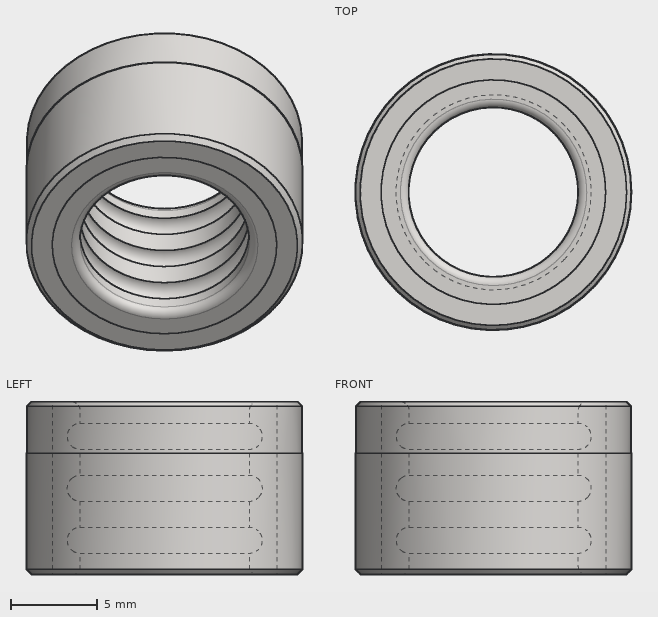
import cadquery as cq

height = 10.0
outer_radius = 8.0

relief_length = 3.0
relieved_radius = 7.97
bottom_chamfer = 0.3
top_chamfer = 0.25

liner_radius = 6.5
bore_radius = 4.9
mouth_radius = 0.5
groove_radius = 0.75
groove_count = 3
groove_pitch = 3.0


def make_sleeve():
    """Outer sleeve with chamfered rims and a relieved upper length."""
    relief_floor = height - relief_length
    sleeve = (
        cq.Workplane("XY")
        .circle(outer_radius)
        .extrude(relief_floor)
        .faces(">Z")
        .workplane()
        .circle(relieved_radius)
        .extrude(relief_length)
    )
    sleeve = sleeve.faces("<Z").edges().chamfer(bottom_chamfer)
    sleeve = sleeve.faces(">Z").edges().chamfer(top_chamfer)
    liner_seat = cq.Workplane("XY").circle(liner_radius).extrude(height)
    return sleeve.cut(liner_seat).solids()


def make_liner():
    """Inner liner filling the sleeve, revolved from a half section with half-round bore grooves."""
    mouth_rim_radius = bore_radius + mouth_radius
    section = (
        cq.Workplane("XZ")
        .moveTo(liner_radius, height)
        .lineTo(liner_radius, 0)
        .lineTo(mouth_rim_radius, 0)
        .radiusArc((bore_radius, mouth_radius), mouth_radius)
    )
    middle_index = (groove_count - 1) / 2
    for index in range(groove_count):
        center_z = height / 2 + (index - middle_index) * groove_pitch
        section = section.lineTo(bore_radius, center_z - groove_radius).threePointArc(
            (bore_radius + groove_radius, center_z),
            (bore_radius, center_z + groove_radius),
        )
    section = (
        section.lineTo(bore_radius, height - mouth_radius)
        .radiusArc((mouth_rim_radius, height), mouth_radius)
        .close()
    )
    return section.revolve(360, (0, 0, 0), (0, 1, 0))


sleeve = make_sleeve()
liner = make_liner()
result = cq.Compound.makeCompound([sleeve.val(), liner.val()])